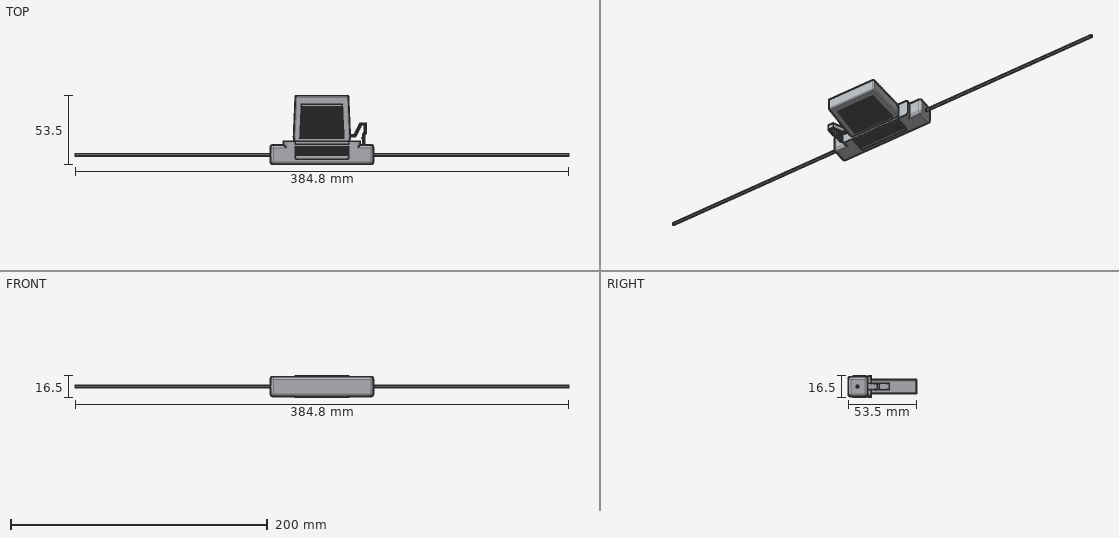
import cadquery as cq


OVERALL_LENGTH = 384.8
OVERALL_DEPTH = 53.45
OVERALL_THICKNESS = 16.5

HOUSING_LENGTH = 80.4
HOUSING_THICKNESS = 15.6
HOUSING_FRONT_Y = -OVERALL_DEPTH / 2
SHOULDER_DEPTH = 15.2
SHOULDER_Y = HOUSING_FRONT_Y + SHOULDER_DEPTH
MOUTH_LENGTH = 60.0
MOUTH_DEPTH = 18.0
MOUTH_Y = HOUSING_FRONT_Y + MOUTH_DEPTH
HOUSING_ROUNDING = 2.1

BAR_LENGTH = 41.6
BAR_HEIGHT = (OVERALL_THICKNESS - HOUSING_THICKNESS) / 2
MOUTH_BAR_WIDTH = 2.3
RIDGE_WIDTH = 1.15
RIDGE_PITCH = 2.25
RIDGE_COUNT = 3
FIRST_RIDGE_BACK_Y = -12.87
FRONT_BAR_WIDTH = 3.0
FRONT_BAR_CORNER = 1.0

CAP_BACK_Y = OVERALL_DEPTH / 2
CAP_THICKNESS = 11.2
CAP_FRONT_HALF_WIDTH = 21.6
CAP_LIP_Y = -5.3
CAP_LIP_HALF_WIDTH = 22.15
CAP_BACK_HALF_WIDTH = 20.75
CAP_ROUNDING = 1.0

PANEL_MARGIN = 5.1
PANEL_BACK_Y = 20.2
PANEL_FRONT_Y = -6.4
PANEL_RECESS = 0.5
RIB_WIDTH = 1.15
RIB_PITCH = 2.3
RIB_COUNT = 11
FIRST_RIB_BACK_Y = 18.1

TETHER_WIDTH = 5.0
TETHER_STRAP = 1.5
TETHER_CAP_Y = -4.6
TETHER_BEND_X = 25.6
TETHER_PEAK_X = 30.3
TETHER_PEAK_Y = 4.7
TETHER_OUTER_X = 33.7
TETHER_OUTER_END_Y = -2.2
TETHER_FOOT_X = 32.6
TETHER_FOOT_TOP_Y = -3.6
BARB_REACH = 1.4
BARB_Y = -6.3

WIRE_DIAMETER = 1.95
WIRE_Y = -19.4


def bar(front_y, back_y):
    """Grip bar along X that stands on the +Z face of the housing."""
    return (
        cq.Workplane("XY", origin=(0, (front_y + back_y) / 2, HOUSING_THICKNESS / 2))
        .rect(BAR_LENGTH, back_y - front_y)
        .extrude(BAR_HEIGHT)
    )


def add_to_both_faces(body, features):
    """Join features on the +Z face and their mirror images on the -Z face."""
    for feature in features:
        body = body.union(feature).union(feature.mirror("XY"))
    return body


def fillet_rims(body, sharp_face, radius):
    """Round the rims of both flat faces, except along the face that stays sharp."""
    sharp_edges = body.faces(sharp_face).edges().vals()
    rims = [
        edge
        for edge in body.faces("|Z").edges().vals()
        if not any(edge.isSame(sharp_edge) for sharp_edge in sharp_edges)
    ]
    return body.newObject(rims).fillet(radius)


def make_housing():
    outline = (
        cq.Workplane("XY", origin=(0, 0, -HOUSING_THICKNESS / 2))
        .moveTo(-HOUSING_LENGTH / 2, HOUSING_FRONT_Y)
        .lineTo(HOUSING_LENGTH / 2, HOUSING_FRONT_Y)
        .lineTo(HOUSING_LENGTH / 2, SHOULDER_Y)
        .lineTo(MOUTH_LENGTH / 2, SHOULDER_Y)
        .lineTo(MOUTH_LENGTH / 2, MOUTH_Y)
        .lineTo(-MOUTH_LENGTH / 2, MOUTH_Y)
        .lineTo(-MOUTH_LENGTH / 2, SHOULDER_Y)
        .lineTo(-HOUSING_LENGTH / 2, SHOULDER_Y)
        .close()
    )
    body = outline.extrude(HOUSING_THICKNESS)
    body = body.edges("|Z").edges("<X or >X").fillet(HOUSING_ROUNDING)
    return fillet_rims(body, ">Y", HOUSING_ROUNDING)


def add_grip_bars(body):
    bars = [bar(MOUTH_Y - MOUTH_BAR_WIDTH, MOUTH_Y)]
    for index in range(RIDGE_COUNT):
        back_y = FIRST_RIDGE_BACK_Y - index * RIDGE_PITCH
        bars.append(bar(back_y - RIDGE_WIDTH, back_y))
    front_bar_back_y = FIRST_RIDGE_BACK_Y - RIDGE_COUNT * RIDGE_PITCH
    front_bar = bar(front_bar_back_y - FRONT_BAR_WIDTH, front_bar_back_y)
    bars.append(front_bar.edges("|Z and <Y").fillet(FRONT_BAR_CORNER))
    return add_to_both_faces(body, bars)


def cap_half_width(y):
    """Half width of the cap at a place y between its lip and its back."""
    back_share = (y - CAP_LIP_Y) / (CAP_BACK_Y - CAP_LIP_Y)
    return CAP_LIP_HALF_WIDTH + back_share * (CAP_BACK_HALF_WIDTH - CAP_LIP_HALF_WIDTH)


def panel_plate(front_y, back_y):
    """Plate as thick as the panel recess, with sides parallel to the sides of the cap."""
    front_half = cap_half_width(front_y) - PANEL_MARGIN
    back_half = cap_half_width(back_y) - PANEL_MARGIN
    corners = [
        (-front_half, front_y),
        (front_half, front_y),
        (back_half, back_y),
        (-back_half, back_y),
    ]
    floor_z = CAP_THICKNESS / 2 - PANEL_RECESS
    return cq.Workplane("XY", origin=(0, 0, floor_z)).polyline(corners).close().extrude(PANEL_RECESS)


def make_cap_block():
    """Cap that widens from its back to a lip and narrows again where it meets the mouth."""
    right_side = [
        (CAP_FRONT_HALF_WIDTH, MOUTH_Y),
        (CAP_LIP_HALF_WIDTH, CAP_LIP_Y),
        (CAP_BACK_HALF_WIDTH, CAP_BACK_Y),
    ]
    left_side = [(-x, y) for x, y in reversed(right_side)]
    body = (
        cq.Workplane("XY", origin=(0, 0, -CAP_THICKNESS / 2))
        .polyline(right_side + left_side)
        .close()
        .extrude(CAP_THICKNESS)
    )
    body = body.edges("|Z and >Y").fillet(CAP_ROUNDING)
    return fillet_rims(body, "<Y", CAP_ROUNDING)


def make_cap():
    panel = panel_plate(PANEL_FRONT_Y, PANEL_BACK_Y)
    body = make_cap_block().cut(panel).cut(panel.mirror("XY"))
    ribs = []
    for index in range(RIB_COUNT):
        back_y = FIRST_RIB_BACK_Y - index * RIB_PITCH
        ribs.append(panel_plate(back_y - RIB_WIDTH, back_y))
    return add_to_both_faces(body, ribs)


def strap(path):
    """Strap of constant thickness along a path of straight runs."""
    return (
        cq.Workplane("XY", origin=(0, 0, -TETHER_WIDTH / 2))
        .polyline(path)
        .offset2D(TETHER_STRAP / 2, "intersection")
        .extrude(TETHER_WIDTH)
    )


def make_tether(housing, cap):
    loop = strap(
        [
            (cap_half_width(TETHER_CAP_Y), TETHER_CAP_Y),
            (TETHER_BEND_X, TETHER_CAP_Y),
            (TETHER_PEAK_X, TETHER_PEAK_Y),
            (TETHER_OUTER_X, TETHER_PEAK_Y),
            (TETHER_OUTER_X, TETHER_OUTER_END_Y),
            (TETHER_FOOT_X, TETHER_FOOT_TOP_Y),
            (TETHER_FOOT_X, SHOULDER_Y),
        ]
    )
    barb = (
        cq.Workplane("XY", origin=(0, 0, -TETHER_WIDTH / 2))
        .polyline(
            [
                (TETHER_FOOT_X, BARB_Y - TETHER_STRAP / 2),
                (TETHER_FOOT_X, BARB_Y + TETHER_STRAP / 2),
                (TETHER_FOOT_X - BARB_REACH, BARB_Y),
            ]
        )
        .close()
        .extrude(TETHER_WIDTH)
    )
    return loop.union(barb).cut(housing).cut(cap)


def make_wire(side):
    """Wire from the end face of the housing outwards; side is -1 or 1 along X."""
    wire_length = (OVERALL_LENGTH - HOUSING_LENGTH) / 2
    return (
        cq.Workplane("YZ", origin=(side * HOUSING_LENGTH / 2, WIRE_Y, 0))
        .circle(WIRE_DIAMETER / 2)
        .extrude(side * wire_length)
    )


housing = add_grip_bars(make_housing())
cap = make_cap()
tether = make_tether(housing, cap)
wires = [make_wire(side) for side in (-1, 1)]

result = cq.Compound.makeCompound(
    [housing.val(), cap.val(), tether.val(), *[wire.val() for wire in wires]]
)